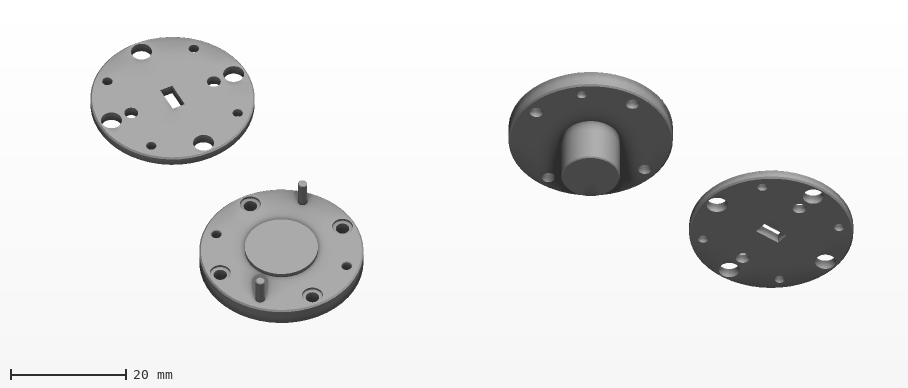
import cadquery as cq
import math

disc_diameter = 28.55
disc_radius = disc_diameter / 2
overall_length = 68.8
centre_spacing_x = overall_length - disc_diameter
centre_offset_y = 0.75
hole_circle_radius = 11.9
edge_chamfer = 0.3
axis_angles = [0, 90, 180, 270]
pin_angles = [135, 315]
open_hole_angles = [45, 225]

plate_centre = (-centre_spacing_x / 2, -centre_offset_y / 2)
plate_thickness = 1.9
plate_screw_diameter = 3.65
plate_pin_hole_diameter = 1.8
inner_hole_diameter = 2.4
inner_hole_radius = 8.05
inner_hole_angles = [90, 270]
window_length = 4.8
window_width = 2.35

flange_centre = (centre_spacing_x / 2, centre_offset_y / 2)
flange_thickness = 3.4
boss_diameter = 12.7
boss_height = 0.8
stem_diameter = 10.2
stem_length = 8.5
stem_chamfer = 0.2
flange_screw_diameter = 2.35
counterbore_diameter = 3.65
counterbore_depth = 0.5
open_hole_diameter = 1.7
dowel_countersink = 0.15

pin_diameter = 1.6
pin_projection = 4.7
pin_chamfer = 0.15


def circle_points(radius, angles):
    """Points at the given angles (degrees) on a circle about the origin."""
    points = []
    for angle in angles:
        turn = math.radians(angle)
        points.append((radius * math.cos(turn), radius * math.sin(turn)))
    return points


def make_disc(thickness):
    """Chamfered disc hanging down from Z = 0."""
    disc = cq.Workplane("XY").circle(disc_radius).extrude(-thickness)
    return disc.edges("%CIRCLE").chamfer(edge_chamfer)


def make_holes(points, diameter, depth):
    """Cylinders that cut down from Z = 0."""
    return cq.Workplane("XY").pushPoints(points).circle(diameter / 2).extrude(-depth)


def make_plate():
    """Cover plate with a rectangular window and three sets of round holes."""
    plate = make_disc(plate_thickness)
    screw_points = circle_points(hole_circle_radius, axis_angles)
    pin_points = circle_points(hole_circle_radius, pin_angles + open_hole_angles)
    inner_points = circle_points(inner_hole_radius, inner_hole_angles)
    plate = plate.cut(make_holes(screw_points, plate_screw_diameter, plate_thickness))
    plate = plate.cut(make_holes(pin_points, plate_pin_hole_diameter, plate_thickness))
    plate = plate.cut(make_holes(inner_points, inner_hole_diameter, plate_thickness))
    window = cq.Workplane("XY").rect(window_length, window_width).extrude(-plate_thickness)
    return plate.cut(window).translate((*plate_centre, 0))


def make_dowel_hole(point, diameter):
    """Hole through the flange with a 45 degree countersink at the top."""
    radius = diameter / 2
    hole = make_holes([point], diameter, flange_thickness)
    countersink = cq.Solid.makeCone(
        radius + dowel_countersink, radius, dowel_countersink,
        pnt=cq.Vector(*point, 0), dir=cq.Vector(0, 0, -1),
    )
    return hole.union(cq.Workplane(obj=countersink))


def make_flange():
    """Flange disc with a boss above, a stem below and holes around the rim."""
    flange = make_disc(flange_thickness)
    boss = cq.Workplane("XY").circle(boss_diameter / 2).extrude(boss_height)
    stem = (
        cq.Workplane("XY", origin=(0, 0, -flange_thickness))
        .circle(stem_diameter / 2)
        .extrude(-stem_length)
        .faces("<Z")
        .chamfer(stem_chamfer)
    )
    flange = flange.union(boss).union(stem)
    screw_points = circle_points(hole_circle_radius, axis_angles)
    flange = flange.cut(make_holes(screw_points, flange_screw_diameter, flange_thickness))
    flange = flange.cut(make_holes(screw_points, counterbore_diameter, counterbore_depth))
    for point in circle_points(hole_circle_radius, pin_angles):
        flange = flange.cut(make_dowel_hole(point, pin_diameter))
    for point in circle_points(hole_circle_radius, open_hole_angles):
        flange = flange.cut(make_dowel_hole(point, open_hole_diameter))
    return flange.translate((*flange_centre, 0))


def make_pin(point):
    """Dowel pin with a chamfered tip, flush with the flange underside."""
    pin = (
        cq.Workplane("XY", origin=(*point, -flange_thickness))
        .circle(pin_diameter / 2)
        .extrude(flange_thickness + pin_projection)
        .faces(">Z")
        .chamfer(pin_chamfer)
    )
    return pin.translate((*flange_centre, 0))


plate = make_plate()
flange = make_flange()
pins = []
for pin_point in circle_points(hole_circle_radius, pin_angles):
    pins.append(make_pin(pin_point))

result = cq.Compound.makeCompound([plate.val(), flange.val(), *[pin.val() for pin in pins]])